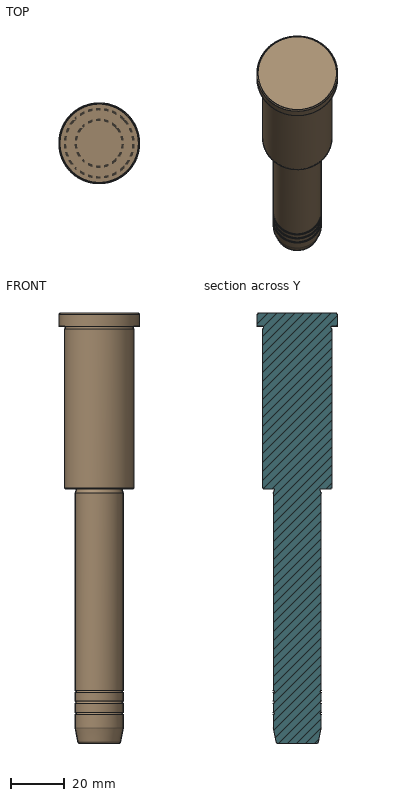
import cadquery as cq

total_length = 160.0
head_diameter = 30.0
head_height = 5.0
head_chamfer = 0.5
barrel_diameter = 26.0
barrel_bottom = 94.5
barrel_chamfer = 0.5
pin_diameter = 18.0

head_relief_width = 1.0
head_relief_depth = 0.3
neck_diameter = 17.0
neck_height = 1.5

groove_centers = (11.2, 15.4, 19.4)
groove_width = 0.8
groove_depth = 0.3

lead_in_height = 5.8
tip_diameter = 15.7
tip_fillet = 0.8

head_radius = head_diameter / 2
barrel_radius = barrel_diameter / 2
pin_radius = pin_diameter / 2
neck_radius = neck_diameter / 2
head_bottom = total_length - head_height


def rounded_groove(surface_radius, depth, center, width):
    """Ring with an arc-shaped section that cuts a groove into a cylinder."""
    return (
        cq.Workplane("XZ")
        .moveTo(surface_radius, center - width / 2)
        .threePointArc((surface_radius - depth, center), (surface_radius, center + width / 2))
        .close()
        .revolve(360, (0, 0), (0, 1))
    )


body = (
    cq.Workplane("XZ")
    .lineTo(tip_diameter / 2, 0)
    .lineTo(pin_radius, lead_in_height)
    .lineTo(pin_radius, barrel_bottom - neck_height)
    .lineTo(neck_radius, barrel_bottom)
    .lineTo(barrel_radius - barrel_chamfer, barrel_bottom)
    .lineTo(barrel_radius, barrel_bottom + barrel_chamfer)
    .lineTo(barrel_radius, head_bottom)
    .lineTo(head_radius, head_bottom)
    .lineTo(head_radius, total_length - head_chamfer)
    .lineTo(head_radius - head_chamfer, total_length)
    .lineTo(0, total_length)
    .close()
    .revolve(360, (0, 0), (0, 1))
    .faces("<Z")
    .edges()
    .fillet(tip_fillet)
)

relief_center = head_bottom - head_relief_width / 2
result = body.cut(rounded_groove(barrel_radius, head_relief_depth, relief_center, head_relief_width))

for center in groove_centers:
    result = result.cut(rounded_groove(pin_radius, groove_depth, center, groove_width))